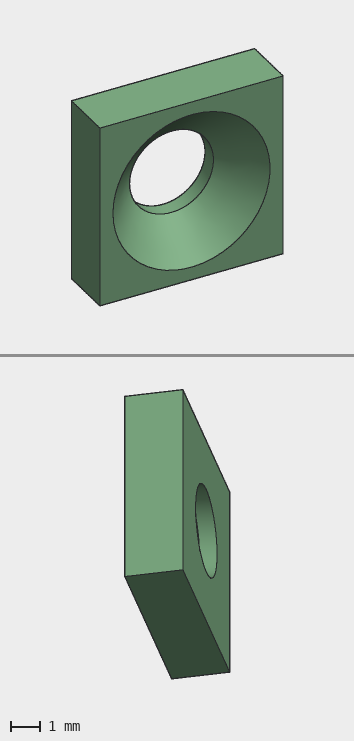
import cadquery as cq

side = 7.0
thickness = 2.0
hole_diameter = 3.2
countersink_diameter = 6.0
countersink_angle = 90.0

plate = cq.Workplane("YZ").box(side, side, thickness)

result = plate.faces(">X").workplane().cskHole(
    hole_diameter, countersink_diameter, countersink_angle
)